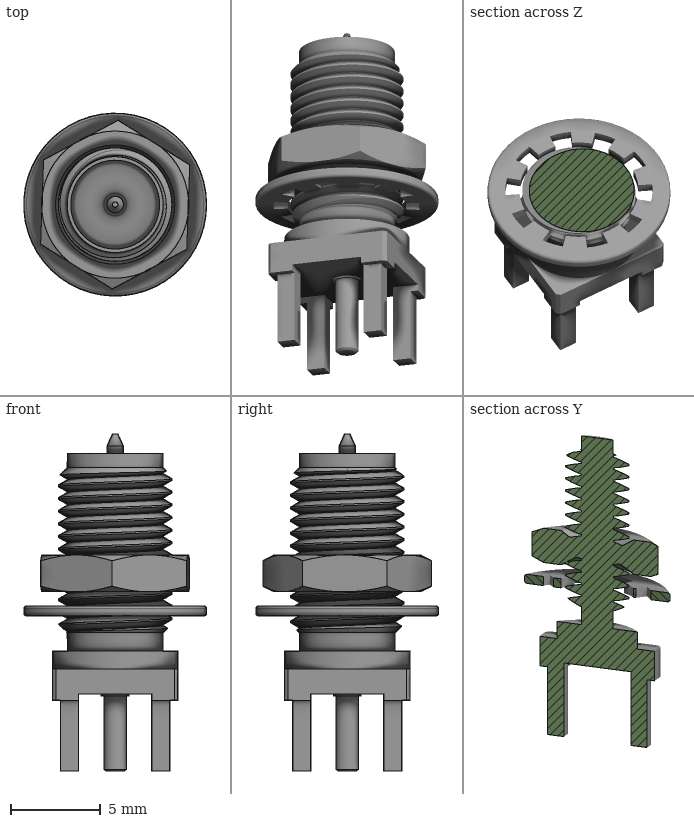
import cadquery as cq
import math

leg_length = 3.95
tip_z = 14.85
base_top = 1.75
recess_depth = 0.35
collar_height = 1.0
collar_top = base_top + collar_height
neck_height = 1.02
thread_bottom = collar_top + neck_height
washer_bottom = 4.71
washer_thickness = 0.56
nut_bottom = 6.06
nut_height = 2.03
rim_top = 13.77
rim_height = 0.8
thread_top = rim_top - rim_height
cavity_depth = 2.0
cavity_floor = rim_top - cavity_depth

base_width = 7.0
base_corner_chamfer = 0.2
recess_width = 4.06
leg_width = 1.02
leg_offset = recess_width / 2 + leg_width / 2
collar_diameter = base_width

barrel_diameter = 5.35
root_radius = barrel_diameter / 2
cavity_diameter = 4.95
crest_diameter = 6.32
crest_radius = crest_diameter / 2
inch = 25.4
threads_per_inch = 36
pitch = inch / threads_per_inch
crest_flat = 0.09
flank_half_angle = 30
ridge_embed = 0.05
crest_z_at_plus_x = 3.845

nut_across_flats = 8.15
nut_face_diameter = 8.2
nut_chamfer_angle = 27
nut_rotation = -2.0
nut_countersink_diameter = 6.65

pin_diameter = 0.92
pin_tip_diameter = 0.3
pin_cone_length = 0.68
tail_diameter = 1.27
tail_end_diameter = 1.0
tail_chamfer_length = 0.11
shoulder_diameter = 1.56
shoulder_height = 0.1

washer_diameter = 10.2
washer_bore = 6.65
washer_edge_fillet = 0.16
notch_count = 10
notch_outer_diameter = 8.2
notch_angle = 17
notch_rotation = 1.8


def cylinder(diameter, bottom, top):
    return cq.Workplane("XY").workplane(offset=bottom).circle(diameter / 2).extrude(top - bottom)


def revolve_profile(points):
    """Solid of revolution about Z from a closed outline of (radius, z) points."""
    return cq.Workplane("XZ").polyline(points).close().revolve(360, (0, 0, 0), (0, 1, 0))


def make_base():
    """Square base on four corner feet, with a square leg below each foot."""
    base = cq.Workplane("XY").rect(base_width, base_width).extrude(base_top)
    base = base.edges("|Z").chamfer(base_corner_chamfer)
    for length, width in ((recess_width, base_width), (base_width, recess_width)):
        base = base.cut(cq.Workplane("XY").rect(length, width).extrude(recess_depth))
    legs = (
        cq.Workplane("XY")
        .workplane(offset=-leg_length)
        .rect(2 * leg_offset, 2 * leg_offset, forConstruction=True)
        .vertices()
        .rect(leg_width, leg_width)
        .extrude(leg_length + recess_depth)
    )
    return base.union(legs).union(cylinder(collar_diameter, base_top, collar_top))


def thread_end_cutter(end_z, inward):
    """Ring that removes the ridge outside a 45 degree cone starting on the barrel at end_z."""
    outer_radius = root_radius + pitch
    outside_z = end_z - inward * 2 * pitch
    return revolve_profile([
        (root_radius, end_z),
        (outer_radius, end_z + inward * pitch),
        (outer_radius, outside_z),
        (root_radius, outside_z),
    ])


def make_threaded_barrel():
    """Barrel with a helical ridge whose two ends are cut back at 45 degrees."""
    depth = crest_radius - root_radius
    crest_half = crest_flat / 2
    root_half = crest_half + (depth + ridge_embed) * math.tan(math.radians(flank_half_angle))
    inner_radius = root_radius - ridge_embed

    helix_start = crest_z_at_plus_x - pitch
    helix_length = thread_top + pitch / 2 - helix_start
    helix = cq.Wire.makeHelix(pitch, helix_length, root_radius)
    helix = helix.translate(cq.Vector(0, 0, helix_start))
    ridge = (
        cq.Workplane("XZ")
        .polyline([
            (inner_radius, helix_start - root_half),
            (crest_radius, helix_start - crest_half),
            (crest_radius, helix_start + crest_half),
            (inner_radius, helix_start + root_half),
        ])
        .close()
        .sweep(cq.Workplane(obj=helix), isFrenet=True)
    )
    barrel = cylinder(barrel_diameter, base_top, rim_top).union(ridge, clean=False)
    for end_z, inward in ((thread_bottom, 1), (thread_top, -1)):
        barrel = barrel.cut(thread_end_cutter(end_z, inward))
    barrel = barrel.intersect(cylinder(base_width, thread_bottom, rim_top))
    return barrel.union(cylinder(barrel_diameter, base_top, thread_bottom), clean=False)


def make_nut():
    """Hexagon nut chamfered at both ends, with a countersink where the thread enters."""
    nut_top = nut_bottom + nut_height
    across_corners = nut_across_flats / math.cos(math.pi / 6)
    nut = (
        cq.Workplane("XY")
        .workplane(offset=nut_bottom)
        .transformed(rotate=(0, 0, 90 + nut_rotation))
        .polygon(6, across_corners)
        .extrude(nut_height)
    )
    face_radius = nut_face_diameter / 2
    outer_radius = across_corners
    drop = (outer_radius - face_radius) * math.tan(math.radians(nut_chamfer_angle))
    nut = nut.intersect(revolve_profile([
        (0, nut_bottom),
        (face_radius, nut_bottom),
        (outer_radius, nut_bottom + drop),
        (outer_radius, nut_top - drop),
        (face_radius, nut_top),
        (0, nut_top),
    ]))
    sink_radius = nut_countersink_diameter / 2
    for face_z, inward in ((nut_bottom, 1), (nut_top, -1)):
        nut = nut.cut(revolve_profile([
            (0, face_z),
            (sink_radius, face_z),
            (root_radius, face_z + inward * (sink_radius - root_radius)),
            (0, face_z + inward * (sink_radius - root_radius)),
        ]))
    return nut


def make_pin():
    """Centre pin: conical contact tip above, wider solder tail and shoulder below.

    The tail diameter carries on through the connector and ends level with the cavity floor.
    """
    return revolve_profile([
        (0, -leg_length),
        (tail_end_diameter / 2, -leg_length),
        (tail_diameter / 2, tail_chamfer_length - leg_length),
        (tail_diameter / 2, recess_depth - shoulder_height),
        (shoulder_diameter / 2, recess_depth - shoulder_height),
        (shoulder_diameter / 2, recess_depth),
        (tail_diameter / 2, recess_depth),
        (tail_diameter / 2, cavity_floor),
        (pin_diameter / 2, cavity_floor),
        (pin_diameter / 2, tip_z - pin_cone_length),
        (pin_tip_diameter / 2, tip_z),
        (0, tip_z),
    ])


def make_connector():
    """Barrel, nut, base and pin joined as one solid, with the open cavity at the top."""
    connector = make_threaded_barrel()
    for piece in (make_nut(), make_base()):
        connector = connector.union(piece, clean=False)
    connector = connector.cut(cylinder(cavity_diameter, cavity_floor, rim_top), clean=False)
    return connector.union(make_pin(), clean=False)


def make_washer():
    """Flat ring with rounded rims and radial notches opening into its bore."""
    washer = cylinder(washer_diameter, washer_bottom, washer_bottom + washer_thickness)
    washer = washer.edges().fillet(washer_edge_fillet)
    washer = washer.cut(cylinder(washer_bore, washer_bottom, washer_bottom + washer_thickness))
    outer_radius = notch_outer_diameter / 2
    half_angle = math.radians(notch_angle / 2)
    corner = (outer_radius * math.cos(half_angle), outer_radius * math.sin(half_angle))
    notch = (
        cq.Workplane("XY")
        .workplane(offset=washer_bottom)
        .lineTo(corner[0], -corner[1])
        .threePointArc((outer_radius, 0), corner)
        .close()
        .extrude(washer_thickness)
    )
    for index in range(notch_count):
        angle = notch_rotation + index * 360 / notch_count
        washer = washer.cut(notch.rotate((0, 0, 0), (0, 0, 1), angle))
    return washer


connector = make_connector()
washer = make_washer()
result = cq.Compound.makeCompound([connector.val(), washer.val()])